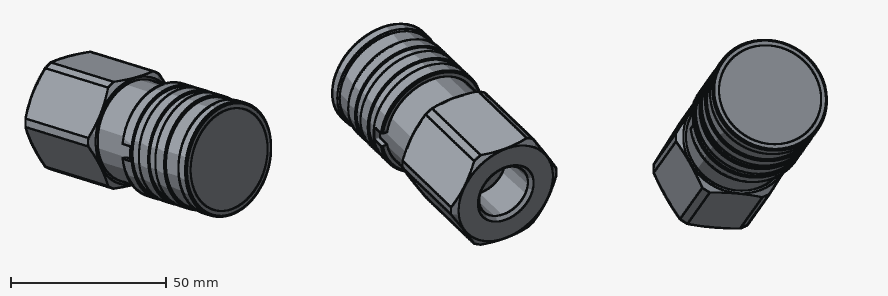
import cadquery as cq
import math

TOTAL_LENGTH = 75.9

HEX_SIDES = 6
HEX_LENGTH = 32.1
HEX_FLATS = 36.0
HEX_CORNERS = 40.0
HEX_FACE_DIAMETER = 35.75
CHAMFER_ANGLE = 30.0

NECK_DIAMETER = 33.9

BORE_DIAMETER = 18.45
BORE_MOUTH_DIAMETER = 21.1
BORE_DEPTH = 15.2

SLEEVE_START = 45.4
SLEEVE_DIAMETER = 38.0
SLEEVE_CHAMFER = 0.45
GROOVE_DIAMETER = 36.8
GRIP_GROOVES = [(50.1, 53.65), (58.1, 61.4)]
WIDE_GROOVE_START = 65.6
WIDE_GROOVE_END = 72.25
WIDE_GROOVE_REAR_SLOPE = 0.2
WIDE_GROOVE_FRONT_SLOPE = 0.5

NOTCH_WIDTH = 5.0
NOTCH_LENGTH = 4.2
NOTCH_CORNER_RADIUS = 0.45


def cylinder(diameter, start, end):
    """Solid cylinder on the X axis between two stations."""
    return cq.Workplane("YZ", origin=(start, 0, 0)).circle(diameter / 2).extrude(end - start)


def revolve_about_x(points):
    """Solid turned about the X axis from a closed outline of (x, radius) points."""
    return cq.Workplane("XY").polyline(points).close().revolve(360, (0, 0, 0), (1, 0, 0))


def make_hex():
    """Hexagon with flats facing up and down, rounded corners and chamfered ends."""
    sharp_corners = HEX_FLATS / math.cos(math.pi / HEX_SIDES)
    prism = cq.Workplane("YZ").polygon(HEX_SIDES, sharp_corners).extrude(HEX_LENGTH)
    corner_radius = HEX_CORNERS / 2
    face_radius = HEX_FACE_DIAMETER / 2
    chamfer_length = (corner_radius - face_radius) * math.tan(math.radians(CHAMFER_ANGLE))
    turned_blank = revolve_about_x([
        (0, 0),
        (0, face_radius),
        (chamfer_length, corner_radius),
        (HEX_LENGTH - chamfer_length, corner_radius),
        (HEX_LENGTH, face_radius),
        (HEX_LENGTH, 0),
    ])
    return prism.intersect(turned_blank)


def make_bore():
    """Blind bore with a 45 degree chamfer at its mouth."""
    bore_radius = BORE_DIAMETER / 2
    mouth_radius = BORE_MOUTH_DIAMETER / 2
    return revolve_about_x([
        (0, 0),
        (0, mouth_radius),
        (mouth_radius - bore_radius, bore_radius),
        (BORE_DEPTH, bore_radius),
        (BORE_DEPTH, 0),
    ])


def make_body():
    """Hexagon and neck in one piece; the neck runs through the sleeve."""
    neck = cylinder(NECK_DIAMETER, HEX_LENGTH, TOTAL_LENGTH)
    return make_hex().union(neck).cut(make_bore())


def make_notch():
    """Cutter through both sides of the sleeve along Y, rounded at its inner corners."""
    return (
        cq.Workplane("XY")
        .box(2 * NOTCH_LENGTH, SLEEVE_DIAMETER, NOTCH_WIDTH)
        .edges("|Y")
        .fillet(NOTCH_CORNER_RADIUS)
        .translate((SLEEVE_START, 0, 0))
    )


def make_groove(start, end):
    """Square ring groove around the sleeve."""
    return cylinder(SLEEVE_DIAMETER, start, end).cut(cylinder(GROOVE_DIAMETER, start, end))


def make_wide_groove():
    """Ring groove with a steep rear wall and a gentler front wall."""
    floor_radius = GROOVE_DIAMETER / 2
    rim_radius = SLEEVE_DIAMETER / 2
    return revolve_about_x([
        (WIDE_GROOVE_START, rim_radius),
        (WIDE_GROOVE_START + WIDE_GROOVE_REAR_SLOPE, floor_radius),
        (WIDE_GROOVE_END - WIDE_GROOVE_FRONT_SLOPE, floor_radius),
        (WIDE_GROOVE_END, rim_radius),
    ])


def make_sleeve():
    """Grooved, notched ring around the neck, flush with its front end."""
    sleeve = cylinder(SLEEVE_DIAMETER, SLEEVE_START, TOTAL_LENGTH).edges().chamfer(SLEEVE_CHAMFER)
    for start, end in GRIP_GROOVES:
        sleeve = sleeve.cut(make_groove(start, end))
    sleeve = sleeve.cut(make_wide_groove())
    sleeve = sleeve.cut(make_notch())
    return sleeve.cut(cylinder(NECK_DIAMETER, SLEEVE_START, TOTAL_LENGTH))


body = make_body()
sleeve = make_sleeve()

result = cq.Compound.makeCompound([body.val(), sleeve.val()])